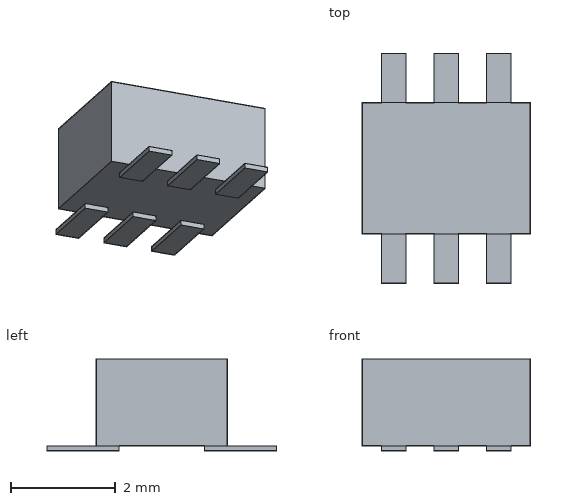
import cadquery as cq

overall_length = 4.38
overall_height = 1.75

lead_width = 0.475
lead_length = 1.38
lead_thickness = 0.095
lead_pitch = 1.0
leads_per_side = 3

housing_width = 3.2
housing_depth = 2.5
housing_height = overall_height - lead_thickness


def make_housing():
    """Plain block whose underside sits on top of the leads."""
    return (
        cq.Workplane("XY")
        .workplane(offset=lead_thickness)
        .rect(housing_width, housing_depth)
        .extrude(housing_height)
    )


def make_lead(x_center, side):
    """Flat strip reaching from under the housing to the outer tip; side is -1 or +1 along Y."""
    y_center = side * (overall_length - lead_length) / 2
    return (
        cq.Workplane("XY")
        .center(x_center, y_center)
        .rect(lead_width, lead_length)
        .extrude(lead_thickness)
    )


housing = make_housing()

leads = []
for side in (-1, 1):
    for index in range(leads_per_side):
        x_center = (index - (leads_per_side - 1) / 2) * lead_pitch
        leads.append(make_lead(x_center, side).val())

result = cq.Compound.makeCompound([housing.val(), *leads])